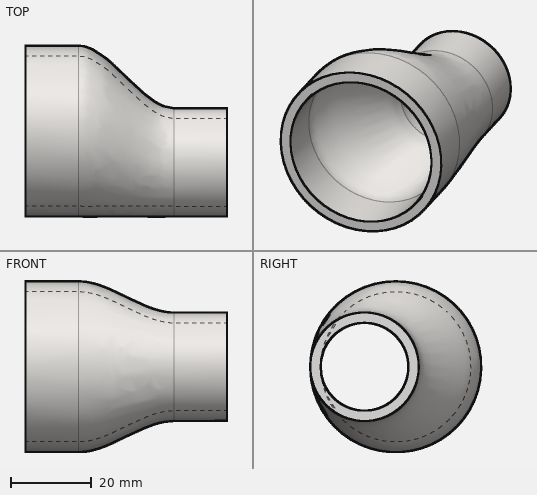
import cadquery as cq

total_length = 50.0
collar_length = 13.15
large_diameter = 42.4
large_bore = 37.2
small_diameter = 26.9
wall = (large_diameter - large_bore) / 2
small_bore = small_diameter - 2 * wall

small_end_y = -(large_diameter - small_diameter) / 2
transition_length = total_length - 2 * collar_length
transition_steps = 12


def s_curve(t):
    """Blend from 0 to 1 that is level at both ends."""
    return 3 * t**2 - 2 * t**3


def circle_wire(x, y, diameter):
    return cq.Wire.makeCircle(diameter / 2, cq.Vector(x, y, 0), cq.Vector(1, 0, 0))


def collar(x, y, diameter):
    """Straight cylinder at one end of the reducer."""
    return cq.Solid.makeCylinder(diameter / 2, collar_length, cq.Vector(x, y, 0), cq.Vector(1, 0, 0))


def transition(start_diameter, end_diameter):
    """Smooth loft through circles that shrink and shift along the S-curve."""
    sections = []
    for step in range(transition_steps + 1):
        t = step / transition_steps
        blend = s_curve(t)
        x = collar_length + t * transition_length
        diameter = start_diameter + blend * (end_diameter - start_diameter)
        sections.append(circle_wire(x, blend * small_end_y, diameter))
    return cq.Solid.makeLoft(sections)


def reducer_body(start_diameter, end_diameter):
    """Solid reducer: large collar, eccentric transition and small collar."""
    large_collar = collar(0, 0, start_diameter)
    small_collar = collar(total_length - collar_length, small_end_y, end_diameter)
    return cq.Workplane(large_collar).union(
        cq.Workplane(transition(start_diameter, end_diameter))
    ).union(cq.Workplane(small_collar))


outside = reducer_body(large_diameter, small_diameter)
passage = reducer_body(large_bore, small_bore)
result = outside.cut(passage)